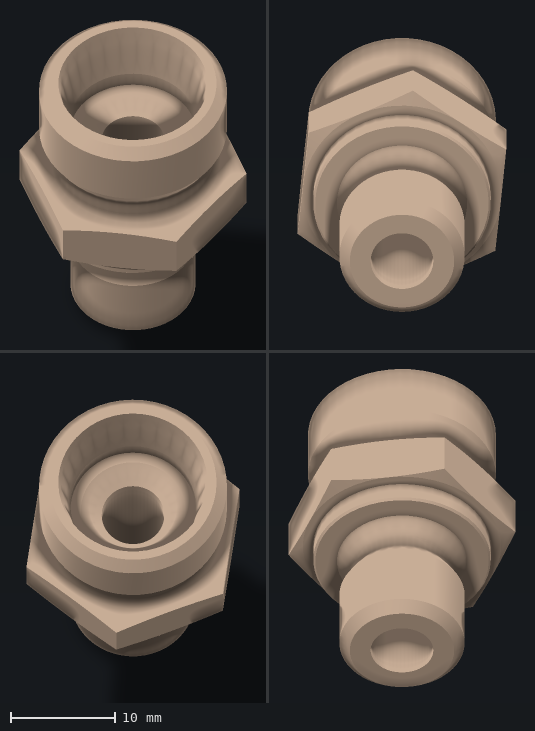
import cadquery as cq
import math

TOTAL_LENGTH = 30.0

STUD_RADIUS = 6.0
STUD_CHAMFER = 1.0
STUD_SHOULDER_Z = 7.45
STUD_NECK_RADIUS = 4.85
STUD_NECK_ARC_RADIUS = 1.1
RELIEF_ANGLE = math.radians(30)
FLARE_ANGLE = math.radians(36)

COLLAR_RADIUS = 8.5
COLLAR_BOTTOM_Z = 12.0
COLLAR_CHAMFER = 0.2

HEX_SIDES = 6
HEX_ACROSS_FLATS = 19.0
HEX_BOTTOM_Z = 14.0
HEX_HEIGHT = 5.0
HEX_CHAMFER_ANGLE = math.radians(15)

BODY_RADIUS = 9.0
BODY_CHAMFER = 1.0
BODY_SHOULDER_Z = 23.58
BODY_NECK_RADIUS = 7.85
BODY_NECK_FILLET = 1.0

BORE_RADIUS = 3.0
FUNNEL_RADIUS = 5.0
FUNNEL_ANGLE = math.radians(60)
SOCKET_RADIUS = 6.0
SOCKET_DEPTH = 7.0
SEAT_MOUTH_RADIUS = 7.15
SEAT_ANGLE = math.radians(12)

HEX_TOP_Z = HEX_BOTTOM_Z + HEX_HEIGHT
HEX_CORNER_RADIUS = HEX_ACROSS_FLATS / 2 / math.cos(math.pi / HEX_SIDES)


def arc_point(center_r, center_z, radius, angle):
    """Point (r, z) on an arc hollowed toward the axis; angle 0 is nearest the axis."""
    return (center_r - radius * math.cos(angle), center_z + radius * math.sin(angle))


def revolve(profile):
    """Close an (r, z) half profile and turn it about the Z axis."""
    return profile.close().revolve(360, (0, 0, 0), (0, 1, 0))


def make_lower_turning():
    """Stud with a rounded neck, flaring out to the sealing collar."""
    arc_center_r = STUD_NECK_RADIUS + STUD_NECK_ARC_RADIUS
    neck_start_r = arc_center_r - STUD_NECK_ARC_RADIUS * math.cos(RELIEF_ANGLE)
    neck_start_z = STUD_SHOULDER_Z + (STUD_RADIUS - neck_start_r) / math.tan(RELIEF_ANGLE)
    arc_center_z = neck_start_z + STUD_NECK_ARC_RADIUS * math.sin(RELIEF_ANGLE)
    neck_mid = arc_point(arc_center_r, arc_center_z, STUD_NECK_ARC_RADIUS, 0)
    neck_end = arc_point(arc_center_r, arc_center_z, STUD_NECK_ARC_RADIUS, FLARE_ANGLE)
    flare_r = neck_end[0] + (COLLAR_BOTTOM_Z - neck_end[1]) * math.tan(FLARE_ANGLE)
    profile = (
        cq.Workplane("XZ")
        .moveTo(0, 0)
        .lineTo(STUD_RADIUS - STUD_CHAMFER, 0)
        .lineTo(STUD_RADIUS, STUD_CHAMFER)
        .lineTo(STUD_RADIUS, STUD_SHOULDER_Z)
        .lineTo(neck_start_r, neck_start_z)
        .threePointArc(neck_mid, neck_end)
        .lineTo(flare_r, COLLAR_BOTTOM_Z)
        .lineTo(COLLAR_RADIUS - COLLAR_CHAMFER, COLLAR_BOTTOM_Z)
        .lineTo(COLLAR_RADIUS, COLLAR_BOTTOM_Z + COLLAR_CHAMFER)
        .lineTo(COLLAR_RADIUS, HEX_BOTTOM_Z)
        .lineTo(0, HEX_BOTTOM_Z)
    )
    return revolve(profile)


def make_hexagon():
    """Hexagon with corners on the Y axis, both ends chamfered by a cone."""
    blank = (
        cq.Workplane("XY")
        .workplane(offset=HEX_BOTTOM_Z)
        .polygon(HEX_SIDES, 2 * HEX_CORNER_RADIUS)
        .extrude(HEX_HEIGHT)
        .rotate((0, 0, 0), (0, 0, 1), 180 / HEX_SIDES)
    )
    flat_radius = HEX_ACROSS_FLATS / 2
    cone_height = HEX_HEIGHT / 2
    cone_radius = flat_radius + cone_height / math.tan(HEX_CHAMFER_ANGLE)
    envelope = revolve(
        cq.Workplane("XZ")
        .moveTo(0, HEX_BOTTOM_Z)
        .lineTo(flat_radius, HEX_BOTTOM_Z)
        .lineTo(cone_radius, HEX_BOTTOM_Z + cone_height)
        .lineTo(flat_radius, HEX_TOP_Z)
        .lineTo(0, HEX_TOP_Z)
    )
    return blank.intersect(envelope)


def make_upper_turning():
    """Threaded body above a neck that is filleted into the hexagon."""
    arc_center_r = BODY_NECK_RADIUS + BODY_NECK_FILLET
    relief_start_r = arc_center_r - BODY_NECK_FILLET * math.cos(RELIEF_ANGLE)
    relief_start_z = BODY_SHOULDER_Z - (BODY_RADIUS - relief_start_r) / math.tan(RELIEF_ANGLE)
    upper_arc_z = relief_start_z - BODY_NECK_FILLET * math.sin(RELIEF_ANGLE)
    lower_arc_z = HEX_TOP_Z + BODY_NECK_FILLET
    lower_mid = arc_point(arc_center_r, lower_arc_z, BODY_NECK_FILLET, -math.pi / 4)
    upper_mid = arc_point(arc_center_r, upper_arc_z, BODY_NECK_FILLET, RELIEF_ANGLE / 2)
    profile = (
        cq.Workplane("XZ")
        .moveTo(0, HEX_TOP_Z)
        .lineTo(arc_center_r, HEX_TOP_Z)
        .threePointArc(lower_mid, (BODY_NECK_RADIUS, lower_arc_z))
        .lineTo(BODY_NECK_RADIUS, upper_arc_z)
        .threePointArc(upper_mid, (relief_start_r, relief_start_z))
        .lineTo(BODY_RADIUS, BODY_SHOULDER_Z)
        .lineTo(BODY_RADIUS, TOTAL_LENGTH - BODY_CHAMFER)
        .lineTo(BODY_RADIUS - BODY_CHAMFER, TOTAL_LENGTH)
        .lineTo(0, TOTAL_LENGTH)
    )
    return revolve(profile)


def make_bore():
    """Through bore with a funnel, a tube socket and a conical seat at the top."""
    seat_bottom_z = TOTAL_LENGTH - (SEAT_MOUTH_RADIUS - SOCKET_RADIUS) / math.tan(SEAT_ANGLE)
    socket_floor_z = TOTAL_LENGTH - SOCKET_DEPTH
    funnel_bottom_z = socket_floor_z - (FUNNEL_RADIUS - BORE_RADIUS) / math.tan(FUNNEL_ANGLE)
    profile = (
        cq.Workplane("XZ")
        .moveTo(0, 0)
        .lineTo(BORE_RADIUS, 0)
        .lineTo(BORE_RADIUS, funnel_bottom_z)
        .lineTo(FUNNEL_RADIUS, socket_floor_z)
        .lineTo(SOCKET_RADIUS, socket_floor_z)
        .lineTo(SOCKET_RADIUS, seat_bottom_z)
        .lineTo(SEAT_MOUTH_RADIUS, TOTAL_LENGTH)
        .lineTo(0, TOTAL_LENGTH)
    )
    return revolve(profile)


result = make_lower_turning().union(make_hexagon()).union(make_upper_turning()).cut(make_bore())